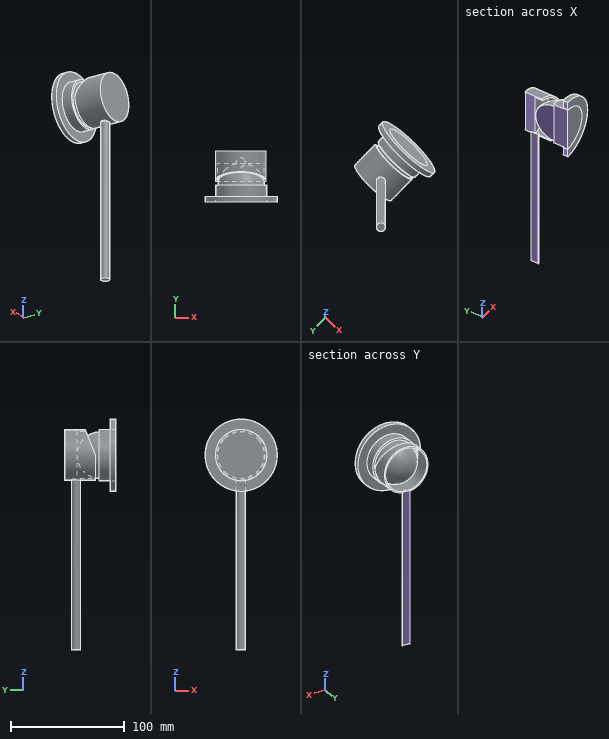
import cadquery as cq

flange_diameter = 63.5
flange_thickness = 5.0

collar_diameter = 45.1
collar_end = 15.0

dome_radius = 20.6
dome_centre = 13.5

cap_diameter = 44.6
cap_start = 18.0
cap_end = 45.0
cap_wall = 1.7
cap_offset_x = -0.4
cap_offset_z = 0.2
slant_setback = 8.8

lever_diameter = 8.0
lever_centre_y = 35.0
lever_bottom = -170.94
lever_seat_depth = 1.0

cap_radius = cap_diameter / 2
cap_bottom = cap_offset_z - cap_radius
dome_apex = dome_centre + dome_radius


def rod_along_y(diameter, start, end, x=0.0, z=0.0):
    """Solid cylinder between two Y stations, with its axis parallel to Y."""
    plane = cq.Plane(origin=(x, start, z), xDir=(1, 0, 0), normal=(0, 1, 0))
    return cq.Workplane(plane).circle(diameter / 2).extrude(end - start)


def make_collar():
    return rod_along_y(collar_diameter, 0, collar_end)


def make_flange():
    ring = rod_along_y(flange_diameter, 0, flange_thickness)
    return ring.cut(make_collar())


def make_dome():
    ball = cq.Workplane("XY").sphere(dome_radius).translate((0, dome_centre, 0))
    behind_collar = rod_along_y(collar_diameter, collar_end, dome_apex)
    return ball.intersect(behind_collar)


def make_lever():
    lever_top = cap_bottom + lever_seat_depth
    return (
        cq.Workplane("XY", origin=(cap_offset_x, lever_centre_y, lever_bottom))
        .circle(lever_diameter / 2)
        .extrude(lever_top - lever_bottom)
    )


def make_slant_wedge():
    """Wedge above mid height that gives the rim its slanted upper half."""
    wedge = (
        cq.Workplane("YZ")
        .moveTo(cap_start, cap_offset_z)
        .lineTo(cap_start + slant_setback, cap_offset_z + cap_radius)
        .lineTo(cap_start, cap_offset_z + cap_radius)
        .close()
        .extrude(cap_radius, both=True)
    )
    return wedge.translate((cap_offset_x, 0, 0))


def make_cap():
    bore_diameter = cap_diameter - 2 * cap_wall
    body = rod_along_y(cap_diameter, cap_start, cap_end, cap_offset_x, cap_offset_z)
    bore = rod_along_y(bore_diameter, cap_start, dome_apex, cap_offset_x, cap_offset_z)
    return body.cut(bore).cut(make_slant_wedge()).cut(make_lever())


flange = make_flange()
collar = make_collar()
dome = make_dome()
cap = make_cap()
lever = make_lever()

result = cq.Compound.makeCompound(
    [flange.val(), collar.val(), dome.val(), cap.val(), lever.val()]
)